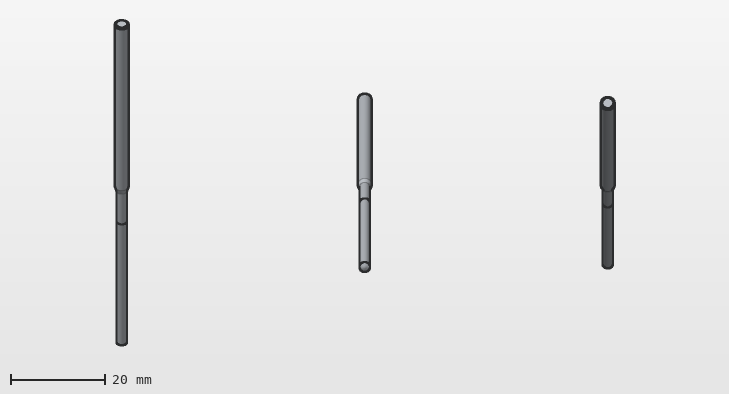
import cadquery as cq
import math

total_length = 90.0
cutting_length = 34.5
neck_top = 43.0

shank_diameter = 3.0
drill_diameter = 2.3

point_angle = 140.0
taper_angle = 30.0
shank_chamfer = 0.3

shank_radius = shank_diameter / 2
drill_radius = drill_diameter / 2
point_height = drill_radius / math.tan(math.radians(point_angle / 2))
taper_height = (shank_radius - drill_radius) / math.tan(math.radians(taper_angle / 2))
shank_bottom = neck_top + taper_height


def make_cutting_end():
    """Plain cylinder with a conical drill point, revolved about Z."""
    return (
        cq.Workplane("XZ")
        .moveTo(0, 0)
        .lineTo(drill_radius, point_height)
        .lineTo(drill_radius, cutting_length)
        .lineTo(0, cutting_length)
        .close()
        .revolve(360, (0, 0, 0), (0, 1, 0))
    )


def make_shank():
    """Neck, taper and chamfered shank, revolved about Z."""
    return (
        cq.Workplane("XZ")
        .moveTo(0, cutting_length)
        .lineTo(drill_radius, cutting_length)
        .lineTo(drill_radius, neck_top)
        .lineTo(shank_radius, shank_bottom)
        .lineTo(shank_radius, total_length - shank_chamfer)
        .lineTo(shank_radius - shank_chamfer, total_length)
        .lineTo(0, total_length)
        .close()
        .revolve(360, (0, 0, 0), (0, 1, 0))
    )


cutting_end = make_cutting_end()
shank = make_shank()

result = cq.Compound.makeCompound([cutting_end.val(), shank.val()])